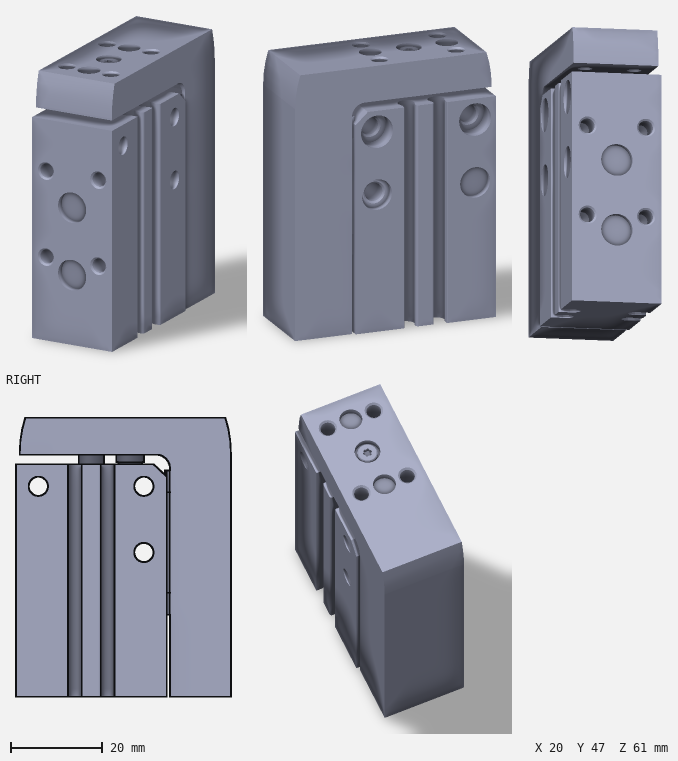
import cadquery as cq
import math

overall_depth = 47.0
overall_height = 61.0
housing_width = 20.0
housing_depth = 32.95
housing_height = 50.8
table_width = 19.0
plate_bottom = 52.9
arm_front = 33.6
side_x = -housing_width / 2

bevel_depth = 2.85
bevel_height = 2.7

rib_y = 16.5
rib_width = 3.2
rib_recess = 0.2
rib_fillet = 0.5
slot_outer_offset = 5.0
slot_lip_chamfer = 0.1
slot_neck_depth = 1.35
slot_flare = 0.4
slot_round_depth = 2.75

carriage_bottom = 17.95
carriage_top = 49.5
carriage_width = 17.45
carriage_back = 36.6
carriage_front = 32.5
carriage_chamfer = 0.4
end_cap_height = 4.75
end_cap_inset = 0.1

side_front_y = 4.9
side_back_y = 27.95
side_upper_z = 46.0
port_upper_z = 31.55
port_lower_z = 16.05
side_bore_dia = 4.15
side_bore_mouth_dia = 5.0
counterbore_dia = 7.5
counterbore_depth = 4.3
port_dia = 7.0
port_depth = 1.65
front_hole_x = 6.5
front_hole_zs = (19.15, 38.9)
front_hole_depth = 6.1
drill_tip_angle = 118.0

thread_dia = 3.25
thread_mouth_dia = 4.0

edge_top_inset = 1.2
edge_curve_bottom = 53.3
plate_front = 0.8
inner_fillet = 3.0

channel_top = 52.6
channel_front = 32.0
channel_chamfer = 1.6

plate_hole_x = 5.5
plate_hole_ys = (7.55, 25.55)
pin_hole_dia = 5.0
pin_hole_depth = 1.65

rod_dia = 5.6
screw_recess_dia = 5.6
screw_recess_depth = 1.5
screw_head_dia = 4.5
screw_head_rim_dia = 4.0
screw_head_sink = 0.5
socket_lobes = 6
socket_dia = 2.0
socket_waist_dia = 1.4
socket_depth = 0.9
stop_y = 24.95
stop_dia = 6.1
stop_foot_dia = 5.0
stop_seat_dia = 5.5
stop_foot_height = 0.5


def cylinder(point, direction, diameter, length):
    axis = cq.Vector(*direction)
    return cq.Workplane(cq.Solid.makeCylinder(diameter / 2, length, cq.Vector(*point), axis))


def cone(point, direction, start_dia, end_dia, length):
    axis = cq.Vector(*direction)
    return cq.Workplane(cq.Solid.makeCone(start_dia / 2, end_dia / 2, length, cq.Vector(*point), axis))


def mouth_chamfer(point, direction, mouth_dia, bore_dia):
    return cone(point, direction, mouth_dia, bore_dia, (mouth_dia - bore_dia) / 2)


def sensor_slots():
    """Cutters for the four slots: one -X slot with half the rib recess, and its mirror images."""
    outer_y = rib_y - slot_outer_offset
    rib_edge_y = rib_y - rib_width / 2
    inner_y = rib_edge_y - rib_fillet
    middle_y = (outer_y + inner_y) / 2
    round_radius = (inner_y - outer_y) / 2 + slot_flare
    rib_x = side_x + rib_recess
    neck_x = side_x + slot_neck_depth
    round_x = side_x + slot_round_depth
    slot = (
        cq.Workplane("XY")
        .moveTo(side_x, rib_y)
        .lineTo(rib_x, rib_y)
        .lineTo(rib_x, rib_edge_y)
        .radiusArc((rib_x + rib_fillet, inner_y), -rib_fillet)
        .lineTo(neck_x, inner_y)
        .lineTo(round_x, middle_y + round_radius)
        .threePointArc((round_x + round_radius, middle_y), (round_x, middle_y - round_radius))
        .lineTo(neck_x, outer_y)
        .lineTo(side_x + slot_lip_chamfer, outer_y)
        .lineTo(side_x, outer_y - slot_lip_chamfer)
        .close()
        .extrude(housing_height)
    )
    pair = slot.union(slot.mirror("XZ", (0, rib_y, 0)))
    return pair.union(pair.mirror("YZ"))


def side_holes():
    """Cross bores and ports that open on the -X side."""
    inward = (1, 0, 0)
    cutters = cylinder((side_x, side_front_y, port_upper_z), inward, port_dia, port_depth)
    for y, z, seat_dia, seat_depth in (
        (side_front_y, side_upper_z, counterbore_dia, counterbore_depth),
        (side_back_y, side_upper_z, counterbore_dia, counterbore_depth),
        (side_back_y, port_upper_z, port_dia, port_depth),
    ):
        seat = (side_x + seat_depth, y, z)
        cutters = cutters.union(cylinder((side_x, y, z), inward, seat_dia, seat_depth))
        cutters = cutters.union(mouth_chamfer(seat, inward, side_bore_mouth_dia, side_bore_dia))
        cutters = cutters.union(cylinder(seat, inward, side_bore_dia, housing_width))
    return cutters


def front_holes():
    """Blind threaded holes and two ports in the front face."""
    inward = (0, 1, 0)
    tip_length = thread_dia / 2 / math.tan(math.radians(drill_tip_angle / 2))
    cutters = cq.Workplane()
    for z in (port_lower_z, port_upper_z):
        cutters = cutters.add(cylinder((0, 0, z), inward, port_dia, port_depth))
    for z in front_hole_zs:
        for x in (-front_hole_x, front_hole_x):
            hole = cylinder((x, 0, z), inward, thread_dia, front_hole_depth)
            hole = hole.union(mouth_chamfer((x, 0, z), inward, thread_mouth_dia, thread_dia))
            hole = hole.union(cone((x, front_hole_depth, z), inward, thread_dia, 0, tip_length))
            cutters = cutters.add(hole)
    return cutters.combine()


def guide_prism(width, front, chamfer, bottom, top):
    """Upright prism with chamfered front corners, shared by the carriage and its channel."""
    half = width / 2
    return (
        cq.Workplane("XY", origin=(0, 0, bottom))
        .polyline([
            (-half, carriage_back),
            (-half, front + chamfer),
            (-half + chamfer, front),
            (half - chamfer, front),
            (half, front + chamfer),
            (half, carriage_back),
        ])
        .close()
        .extrude(top - bottom)
    )


def make_carriage():
    """Guide carriage with an end cap at each end, slightly narrower than its middle."""
    caps = guide_prism(
        carriage_width - 2 * end_cap_inset,
        carriage_front,
        carriage_chamfer,
        carriage_bottom,
        carriage_top,
    )
    middle = guide_prism(
        carriage_width,
        carriage_front,
        carriage_chamfer,
        carriage_bottom + end_cap_height,
        carriage_top - end_cap_height,
    )
    return caps.union(middle)


def make_housing():
    bevel_z = housing_height - bevel_height
    block = (
        cq.Workplane("YZ", origin=(side_x, 0, 0))
        .polyline([
            (0, 0),
            (housing_depth, 0),
            (housing_depth, bevel_z),
            (housing_depth - bevel_depth, housing_height),
            (0, housing_height),
        ])
        .close()
        .extrude(housing_width)
    )
    block = block.cut(sensor_slots()).cut(side_holes()).cut(front_holes())
    return block.union(make_carriage())


def curved_end_middle():
    """Height and inset of the middle of the curved ends, which are upright at their bottom."""
    rise = overall_height - edge_curve_bottom
    radius = (rise**2 + edge_top_inset**2) / (2 * edge_top_inset)
    half_angle = math.asin(rise / radius) / 2
    return edge_curve_bottom + radius * math.sin(half_angle), radius * (1 - math.cos(half_angle))


def table_profile():
    """L-shaped table with curved ends on the top plate and a fillet in the inner corner."""
    middle_z, middle_inset = curved_end_middle()
    return (
        cq.Workplane("YZ", origin=(-table_width / 2, 0, 0))
        .moveTo(arm_front, 0)
        .lineTo(overall_depth, 0)
        .lineTo(overall_depth, edge_curve_bottom)
        .threePointArc(
            (overall_depth - middle_inset, middle_z),
            (overall_depth - edge_top_inset, overall_height),
        )
        .lineTo(plate_front + edge_top_inset, overall_height)
        .threePointArc((plate_front + middle_inset, middle_z), (plate_front, edge_curve_bottom))
        .lineTo(plate_front, plate_bottom)
        .lineTo(arm_front - inner_fillet, plate_bottom)
        .radiusArc((arm_front, plate_bottom - inner_fillet), inner_fillet)
        .close()
        .extrude(table_width)
    )


def carriage_channel():
    """Cutter for the channel that holds the carriage and clears the inner fillet above it."""
    return guide_prism(carriage_width, channel_front, channel_chamfer, carriage_bottom, channel_top)


def plate_holes():
    """Threaded through holes and blind pin holes in the top plate."""
    down = (0, 0, -1)
    cutters = cq.Workplane()
    for y in plate_hole_ys:
        cutters = cutters.add(cylinder((0, y, overall_height), down, pin_hole_dia, pin_hole_depth))
        for x in (-plate_hole_x, plate_hole_x):
            top = (x, y, overall_height)
            hole = cylinder(top, down, thread_dia, overall_height - plate_bottom)
            cutters = cutters.add(hole.union(mouth_chamfer(top, down, thread_mouth_dia, thread_dia)))
    return cutters.combine()


def polar_point(diameter, angle):
    return diameter / 2 * math.cos(angle), diameter / 2 * math.sin(angle)


def screw_socket(bottom):
    """Cutter for the six-lobed socket, one arc per lobe from waist to waist."""
    half_lobe = math.pi / socket_lobes
    start = polar_point(socket_waist_dia, -half_lobe)
    outline = cq.Workplane("XY", origin=(0, rib_y, bottom)).moveTo(*start)
    for lobe in range(socket_lobes):
        peak = 2 * half_lobe * lobe
        outline = outline.threePointArc(
            polar_point(socket_dia, peak), polar_point(socket_waist_dia, peak + half_lobe)
        )
    return outline.close().extrude(socket_depth)


def screw_head():
    """Round head with a bevelled rim and a six-lobed socket, standing in the recess."""
    rim = (screw_head_dia - screw_head_rim_dia) / 2
    head_top = overall_height - screw_head_sink
    head_bottom = overall_height - screw_recess_depth
    head = cylinder((0, rib_y, head_bottom), (0, 0, 1), screw_head_dia, head_top - head_bottom)
    head = head.faces(">Z").chamfer(rim)
    return head.cut(screw_socket(head_top - socket_depth))


def rod_and_stop():
    """Piston rod and stepped end stop between the top plate and the housing."""
    up = (0, 0, 1)
    gap = plate_bottom - housing_height
    rod = cylinder((0, rib_y, housing_height), up, rod_dia, gap)
    stop_foot = cone(
        (0, stop_y, housing_height), up, stop_foot_dia, stop_seat_dia, stop_foot_height
    )
    stop = cylinder(
        (0, stop_y, housing_height + stop_foot_height), up, stop_dia, gap - stop_foot_height
    )
    return rod, stop.union(stop_foot)


def make_table():
    screw_recess = cylinder(
        (0, rib_y, overall_height), (0, 0, -1), screw_recess_dia, screw_recess_depth
    )
    table = table_profile().cut(carriage_channel()).cut(plate_holes()).cut(screw_recess)
    rod, stop = rod_and_stop()
    return table.union(screw_head()).union(rod).union(stop)


housing = make_housing()
table = make_table()
result = cq.Compound.makeCompound([housing.val(), table.val()])